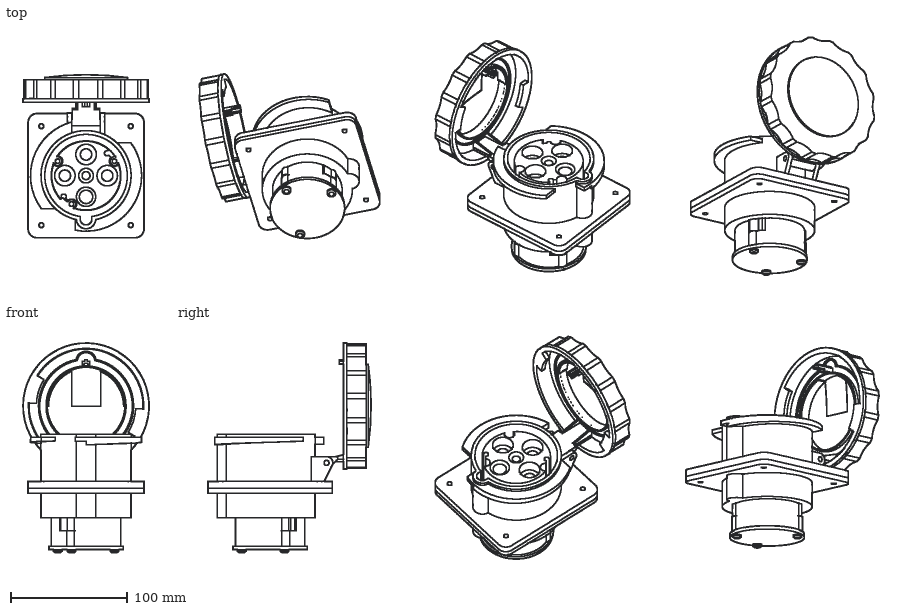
import cadquery as cq
import math


FLANGE_X = 100.0
FLANGE_Y = 107.2
FLANGE_CORNER = 8.0
FLANGE_TOP = 6.1
GASKET_BOTTOM = -4.3
MOUNT_SPACING_X = 76.9
MOUNT_SPACING_Y = 85.2
MOUNT_HOLE_D = 4.0

HOUSING_TOP = 46.7
HOUSING_BOTTOM = -25.5
HOUSING_R = 38.8
CAVITY_R = 35.5
CAVITY_FLOOR = HOUSING_BOTTOM + HOUSING_R - CAVITY_R
LOBE_Y = -37.3
LOBE_R = 8.3
KEYWAY_R = 5.0

COLLAR_R = 47.8
COLLAR_TOP = 44.2
COLLAR_THIN = 3.6
COLLAR_THICK = 6.7
COLLAR_LEAD_IN = 9.4
COLLAR_END = 28.5
COLLAR_TURN = 90 + math.degrees(math.asin(COLLAR_END / COLLAR_R))
COLLAR_GAP_EDGE = -12.5

PIN_Y = 48.5
PIN_Z = 22.0
PIN_R = 2.2
BARREL_R = 5.5
EAR_INNER = 12.3
EAR_OUTER = 16.0
EAR_FOOT_Y = 46.7
ARM_HALF = 11.9
ARM_TIP_Y = 58.1
ARM_BEVEL_Y = 56.7
ARM_BEVEL_DROP = 0.5
ARM_HEEL = (53.0, 19.8)

INSERT_R = 30.0
INSERT_TOP = 43.8
INSERT_TOP_R = 29.5
INSERT_BOTTOM = -49.6
LEDGE_Z = -36.5
SCREW_CIRCLE_R = 27.5
SCREW_ANGLES = (27, 153, 243)
BOSS_R = 4.3
POST_R = 3.8
PILOT_R = 2.0
HOOK_CIRCLE_R = 26.3
HOOK_R = 2.2
REAR_SLOT = {"screw": 27, "hook": 47, "end": 49}
FRONT_SLOT = {"screw": 243, "hook": 223, "end": 221}
TAB_INNER_R = 27.6
CONTACT_CIRCLE_R = 18.2
CONTACT_ANGLES = (0, 90, 180)
CONTACT_R = 8.8
CONTACT_DEPTH = 10.3
CONTACT_BORE_R = 4.9
EARTH_R = 8.3
EARTH_BORE_R = 5.8
PILOT_CONTACT_R = 6.3
PILOT_CONTACT_BORE_R = 3.5
CONE_DEPTH = 2.2
BORE_DEPTH = 36

PLATE_R = 32.1
PLATE_BOTTOM = -52.7
HEAD_R = 3.8
HEAD_BOTTOM = -55.2
HEAD_RIM = 1.3
HEAD_FLAT_R = 2.2
SHANK_TOP = HOUSING_BOTTOM

LID_Z = 70.9
LID_FRONT = 63.0
LID_FLOOR = 76.7
COVER_DISC_BACK = 80.0
RING_BACK = 82.6
HUB_R = 35.7
BORE_BACK_R = 49.0
BORE_FRONT_R = 49.6

RIM_R = 54.3
RIM_BACK = 66.0
GRIP_R = 54.0
SCALLOP_COUNT = 16
SCALLOP_R = 23.5
SCALLOP_CENTRE_R = 75.2
RING_TURN = 2
LIP_R = 42.8
LIP_BACK = 66.5
LIP_ANGLES = ((-30, -1), (150, 179))

HUB_BACK = 84.5
DOME_BACK = 87.0
CUP_R = 33.4
CUP_RIM_R = 34.5
CUP_RIM_FRONT = 73.6
CUP_SKIN = 1.8
STEP_R = 32.3
STEP_FRONT = 74.0
STEP_BACK = 83.4
STEP_ANGLES = ((0, 68), (112, 180))
SEAL_R = 41.0
SEAL_WIDTH = 1.0
SEAL_HEIGHT = 1.0
SEAL_LOBE_Z = 38.5
SEAL_LOBE_R = 8.7
PANEL_HALF = 12.5
PANEL_DEPTH = 0.4
NECK_HALF = 8.8
NECK_BOTTOM = 22.7
NECK_LEDGE = 25.0
RIB_OUTER = 8.5
NECK_FRONT = 56.0
RIB_WIDTH = 1.5
RIB_TOP = 32.7
KEY_TIP = 59.4
KEY_FOOT_FRONT = 66.8
KEY_HALF = 3.0
KEY_BOTTOM = 36
KEY_TOP = 38.6
KEY_GROOVE_HALF = 1.6
KEY_GROOVE_TOP = 36.6
CREST_HALF = 1.0
CREST_TOP = 39.9


def polar(radius, angle):
    turn = math.radians(angle)
    return radius * math.cos(turn), radius * math.sin(turn)


def cylinder(radius, bottom, top, centre=(0, 0)):
    return cq.Workplane("XY", origin=(*centre, bottom)).circle(radius).extrude(top - bottom)


def block(x_range, y_range, z_range):
    size = [end - start for start, end in (x_range, y_range, z_range)]
    corner = (x_range[0], y_range[0], z_range[0])
    return cq.Workplane("XY").box(*size, centered=False).translate(corner)


def side_slab(points, x_start, x_end):
    """A (y, z) outline extruded from x_start to x_end."""
    return cq.Workplane("YZ", origin=(x_start, 0, 0)).polyline(points).close().extrude(x_end - x_start)


def lid_plane(y):
    """Plane across the lid axis, with local x along X and local y along Z."""
    return cq.Workplane("XZ", origin=(0, y, LID_Z))


def lid_block(x_range, y_range, height_range):
    """A block whose height is measured from the lid axis."""
    return block(x_range, y_range, [LID_Z + height for height in height_range])


def sector(plane, inner, outer, start, end, length):
    """Part of a flat ring between two angles."""
    middle = (start + end) / 2
    return (
        plane.moveTo(*polar(inner, start))
        .lineTo(*polar(outer, start))
        .threePointArc(polar(outer, middle), polar(outer, end))
        .lineTo(*polar(inner, end))
        .threePointArc(polar(inner, middle), polar(inner, start))
        .close()
        .extrude(length)
    )


def flange_plate(bottom, top):
    return (
        cq.Workplane("XY", origin=(0, 0, bottom))
        .rect(FLANGE_X, FLANGE_Y)
        .extrude(top - bottom)
        .edges("|Z")
        .fillet(FLANGE_CORNER)
        .faces(">Z")
        .workplane(origin=(0, 0, top))
        .rect(MOUNT_SPACING_X, MOUNT_SPACING_Y, forConstruction=True)
        .vertices()
        .hole(MOUNT_HOLE_D)
    )


def housing_barrel(bottom, top):
    return cylinder(HOUSING_R, bottom, top).union(cylinder(LOBE_R, bottom, top, (0, LOBE_Y)))


def housing_cavity():
    keyway = cylinder(KEYWAY_R, CAVITY_FLOOR, HOUSING_TOP, (0, LOBE_Y))
    neck = block((-KEYWAY_R, KEYWAY_R), (LOBE_Y, 0), (CAVITY_FLOOR, HOUSING_TOP))
    return cylinder(CAVITY_R, CAVITY_FLOOR, HOUSING_TOP).union(keyway).union(neck)


def ramp_cutter():
    """Helical band below the collar, rising from the thick end at -90 degrees."""
    rise = COLLAR_THICK - COLLAR_THIN
    start_z = COLLAR_TOP - COLLAR_THICK
    band_width = 25.3
    band_height = 7.2
    sweep_turn = COLLAR_TURN + 20
    pitch = rise * 360 / COLLAR_TURN
    path = cq.Wire.makeHelix(pitch, pitch * sweep_turn / 360, COLLAR_R)
    band = (
        cq.Workplane("XZ")
        .center(COLLAR_R, -band_height / 2)
        .rect(band_width, band_height)
        .sweep(cq.Workplane(path), isFrenet=True)
    )
    return band.rotate((0, 0, 0), (0, 0, 1), -90).translate((0, 0, start_z))


def collar_flange():
    """One flange, from its lead-in beside the lobe to its thin end."""
    lead_y = -math.sqrt(COLLAR_R**2 - COLLAR_LEAD_IN**2)
    end_x = math.sqrt(COLLAR_R**2 - COLLAR_END**2)
    flange = (
        cq.Workplane("XY", origin=(0, 0, COLLAR_TOP))
        .moveTo(-COLLAR_LEAD_IN, lead_y)
        .threePointArc(polar(COLLAR_R, -30), (end_x, COLLAR_END))
        .lineTo(-COLLAR_LEAD_IN, COLLAR_END)
        .close()
        .extrude(-COLLAR_THICK)
    )
    lead_in_relief = block(
        (-COLLAR_LEAD_IN, 0),
        (-COLLAR_R, 0),
        (COLLAR_TOP - COLLAR_THICK, COLLAR_TOP - COLLAR_THIN),
    )
    return flange.cut(lead_in_relief).cut(ramp_cutter())


def bayonet_collar():
    right = collar_flange()
    left = right.rotate((0, 0, 0), (0, 0, 1), 180)
    hinge_gap = block(
        (COLLAR_GAP_EDGE, COLLAR_R),
        (CAVITY_R, COLLAR_R),
        (COLLAR_TOP - COLLAR_THICK, COLLAR_TOP),
    )
    return right.union(left.cut(hinge_gap))


def hinge_ear(x_start):
    width = EAR_OUTER - EAR_INNER
    plate = side_slab(
        [
            (0, FLANGE_TOP),
            (EAR_FOOT_Y, FLANGE_TOP),
            pin_tangent(),
            (PIN_Y, PIN_Z + BARREL_R),
            (0, PIN_Z + BARREL_R),
        ],
        x_start,
        x_start + width,
    )
    knuckle = pin_cylinder(BARREL_R, x_start, x_start + width)
    return plate.union(knuckle)


def pin_tangent():
    """Point (y, z) where the slanted ear edge, rising from its foot, touches the knuckle."""
    foot_dy = EAR_FOOT_Y - PIN_Y
    foot_dz = FLANGE_TOP - PIN_Z
    foot_angle = math.degrees(math.atan2(foot_dz, foot_dy))
    opening = math.degrees(math.acos(BARREL_R / math.hypot(foot_dy, foot_dz)))
    dy, dz = polar(BARREL_R, foot_angle + opening)
    return PIN_Y + dy, PIN_Z + dz


def pin_cylinder(radius, x_start, x_end):
    return cq.Workplane("YZ", origin=(x_start, PIN_Y, PIN_Z)).circle(radius).extrude(x_end - x_start)


def insert_posts():
    """Posts and a side tab that hang below the cavity floor into recesses of the insert."""
    height = CAVITY_FLOOR - LEDGE_Z
    plane = cq.Workplane("XY", origin=(0, 0, LEDGE_Z))
    posts = sector(plane, TAB_INNER_R, INSERT_R, FRONT_SLOT["screw"], FRONT_SLOT["hook"], height)
    for angle in SCREW_ANGLES:
        posts = posts.union(cylinder(POST_R, LEDGE_Z, CAVITY_FLOOR, polar(SCREW_CIRCLE_R, angle)))
    for angle in SCREW_ANGLES:
        posts = posts.cut(cylinder(PILOT_R, LEDGE_Z, CAVITY_FLOOR, polar(SCREW_CIRCLE_R, angle)))
    return posts


def make_housing():
    housing = (
        housing_barrel(HOUSING_BOTTOM, HOUSING_TOP)
        .union(flange_plate(0, FLANGE_TOP))
        .union(bayonet_collar())
        .union(hinge_ear(EAR_INNER))
        .union(hinge_ear(-EAR_OUTER))
        .cut(housing_cavity())
        .cut(cylinder(INSERT_R, HOUSING_BOTTOM, CAVITY_FLOOR))
        .cut(pin_cylinder(PIN_R, -EAR_OUTER, EAR_OUTER))
    )
    for angle in SCREW_ANGLES:
        pilot = cylinder(PILOT_R, HOUSING_BOTTOM, CAVITY_FLOOR, polar(SCREW_CIRCLE_R, angle))
        housing = housing.cut(pilot)
    return housing.union(insert_posts())


def make_gasket():
    return flange_plate(GASKET_BOTTOM, 0).cut(housing_barrel(GASKET_BOTTOM, 0))


def contact_pocket(centre):
    pocket = cylinder(CONTACT_R, INSERT_TOP - CONTACT_DEPTH, INSERT_TOP, centre)
    return pocket.union(cylinder(CONTACT_BORE_R, INSERT_TOP - BORE_DEPTH, INSERT_TOP, centre))


def cone_pocket(mouth_r, bore_r, centre):
    bore = cylinder(bore_r, INSERT_TOP - BORE_DEPTH, INSERT_TOP, centre)
    cone = cq.Solid.makeCone(
        bore_r, mouth_r, CONE_DEPTH, pnt=cq.Vector(*centre, INSERT_TOP - CONE_DEPTH)
    )
    return bore.union(cq.Workplane(cone))


def tab_slot(slot):
    """Side recess from a screw to the round end of a hook-shaped notch."""
    plane = cq.Workplane("XY", origin=(0, 0, LEDGE_Z))
    height = INSERT_TOP - LEDGE_Z
    recess = sector(plane, HOOK_CIRCLE_R, PLATE_R, slot["screw"], slot["end"], height)
    return recess.union(cylinder(HOOK_R, LEDGE_Z, INSERT_TOP, polar(HOOK_CIRCLE_R, slot["hook"])))


def make_insert():
    insert = cylinder(INSERT_R, INSERT_BOTTOM, CAVITY_FLOOR)
    insert = insert.union(cylinder(INSERT_TOP_R, CAVITY_FLOOR, INSERT_TOP))
    for slot in (REAR_SLOT, FRONT_SLOT):
        insert = insert.cut(tab_slot(slot))
    for angle in SCREW_ANGLES:
        centre = polar(SCREW_CIRCLE_R, angle)
        insert = (
            insert.cut(cylinder(BOSS_R, LEDGE_Z, INSERT_TOP, centre))
            .union(cylinder(BOSS_R, INSERT_BOTTOM, LEDGE_Z, centre))
            .cut(cylinder(PILOT_R, INSERT_BOTTOM, LEDGE_Z, centre))
        )
    for angle in CONTACT_ANGLES:
        insert = insert.cut(contact_pocket(polar(CONTACT_CIRCLE_R, angle)))
    insert = insert.cut(cone_pocket(EARTH_R, EARTH_BORE_R, (0, -CONTACT_CIRCLE_R)))
    return insert.cut(cone_pocket(PILOT_CONTACT_R, PILOT_CONTACT_BORE_R, (0, 0)))


def make_base_plate():
    plate = cylinder(PLATE_R, PLATE_BOTTOM, INSERT_BOTTOM)
    for angle in SCREW_ANGLES:
        plate = plate.cut(cylinder(PILOT_R, PLATE_BOTTOM, INSERT_BOTTOM, polar(SCREW_CIRCLE_R, angle)))
    return plate


def make_screw(angle):
    """Chamfered pan-head screw, revolved about its own axis."""
    return (
        cq.Workplane("XZ")
        .polyline(
            [
                (0, SHANK_TOP),
                (PILOT_R, SHANK_TOP),
                (PILOT_R, PLATE_BOTTOM),
                (HEAD_R, PLATE_BOTTOM),
                (HEAD_R, PLATE_BOTTOM - HEAD_RIM),
                (HEAD_FLAT_R, HEAD_BOTTOM),
                (0, HEAD_BOTTOM),
            ]
        )
        .close()
        .revolve(360, (0, 0), (0, 1))
        .translate((*polar(SCREW_CIRCLE_R, angle), 0))
    )


def dome_middle(edge_r, edge_y, apex_y):
    """Point halfway in from the edge on a spherical cap's profile."""
    rise = apex_y - edge_y
    sphere_r = (edge_r**2 + rise**2) / (2 * rise)
    drop = sphere_r - math.sqrt(sphere_r**2 - (edge_r / 2) ** 2)
    return edge_r / 2, apex_y - drop


def lid_revolve(profile):
    """Revolves an (r, y) profile about the lid axis, with the seam at the top."""
    solid = profile.close().revolve(360, (0, 0), (0, 1))
    return solid.rotate((0, 0, 0), (0, 1, 0), -90).translate((0, 0, LID_Z))


def make_lid_ring():
    ring = lid_revolve(
        cq.Workplane("XY").polyline(
            [
                (BORE_FRONT_R, LID_FRONT),
                (RIM_R, LID_FRONT),
                (RIM_R, RIM_BACK),
                (GRIP_R, RIM_BACK),
                (GRIP_R, RING_BACK),
                (HUB_R, RING_BACK),
                (HUB_R, COVER_DISC_BACK),
                (BORE_BACK_R, COVER_DISC_BACK),
                (BORE_BACK_R, LID_FLOOR),
            ]
        )
    )
    scallops = (
        lid_plane(RIM_BACK)
        .polarArray(SCALLOP_CENTRE_R, 90, 360, SCALLOP_COUNT)
        .circle(SCALLOP_R)
        .extrude(RIM_BACK - RING_BACK)
    )
    ring = ring.cut(scallops)
    lip_outer_r = (BORE_FRONT_R + RIM_R) / 2
    for start, end in LIP_ANGLES:
        lip = sector(lid_plane(LID_FRONT), LIP_R, lip_outer_r, start, end, LID_FRONT - LIP_BACK)
        ring = ring.union(lip)
    return ring.rotate((0, 0, LID_Z), (0, 1, LID_Z), RING_TURN)


def cover_shell():
    cup_edge = HUB_BACK - CUP_SKIN
    cup_apex = DOME_BACK - CUP_SKIN
    return lid_revolve(
        cq.Workplane("XY")
        .moveTo(0, DOME_BACK)
        .threePointArc(dome_middle(HUB_R, HUB_BACK, DOME_BACK), (HUB_R, HUB_BACK))
        .lineTo(HUB_R, COVER_DISC_BACK)
        .lineTo(BORE_BACK_R, COVER_DISC_BACK)
        .lineTo(BORE_BACK_R, LID_FLOOR)
        .lineTo(CUP_RIM_R, LID_FLOOR)
        .lineTo(CUP_RIM_R, CUP_RIM_FRONT)
        .lineTo(CUP_R, CUP_RIM_FRONT)
        .lineTo(CUP_R, cup_edge)
        .threePointArc(dome_middle(CUP_R, cup_edge, cup_apex), (0, cup_apex))
    )


def cup_step():
    """Thickened wall in the upper half of the cup, either side of the panel."""
    step = cq.Workplane("XY")
    for start, end in STEP_ANGLES:
        arc = sector(lid_plane(STEP_FRONT), STEP_R, CUP_RIM_R, start, end, STEP_FRONT - STEP_BACK)
        step = step.union(arc)
    return step


def cup_panel():
    """Shallow recess of even depth in the domed cup floor, from the lid axis to the cup wall."""
    edge = HUB_BACK - CUP_SKIN + PANEL_DEPTH
    apex = DOME_BACK - CUP_SKIN + PANEL_DEPTH
    deeper_floor = lid_revolve(
        cq.Workplane("XY")
        .moveTo(0, LID_FLOOR)
        .lineTo(CUP_R, LID_FLOOR)
        .lineTo(CUP_R, edge)
        .threePointArc(dome_middle(CUP_R, edge, apex), (0, apex))
    )
    return lid_block((-PANEL_HALF, PANEL_HALF), (LID_FLOOR, apex), (0, CUP_R)).intersect(deeper_floor)


def seal_outline(offset):
    plane = lid_plane(LID_FLOOR)
    ring = plane.circle(SEAL_R - offset).extrude(SEAL_HEIGHT)
    lobe = plane.center(0, SEAL_LOBE_Z).circle(SEAL_LOBE_R - offset).extrude(SEAL_HEIGHT)
    return ring.union(lobe)


def locating_key():
    """Peg above the cup with a crest along its top, on a grooved foot. Heights are from the lid axis."""
    body = lid_block((-KEY_HALF, KEY_HALF), (KEY_TIP, LID_FLOOR), (KEY_BOTTOM, KEY_TOP))
    crest = lid_block((-CREST_HALF, CREST_HALF), (KEY_TIP, LID_FLOOR), (KEY_TOP, CREST_TOP))
    foot = lid_block((-KEY_HALF, KEY_HALF), (KEY_FOOT_FRONT, LID_FLOOR), (CUP_RIM_R, KEY_BOTTOM))
    groove = lid_block(
        (-KEY_GROOVE_HALF, KEY_GROOVE_HALF), (KEY_TIP, CUP_RIM_FRONT), (0, KEY_GROOVE_TOP)
    )
    return body.union(crest).union(foot).cut(groove)


def hinge_arm():
    arm_top = PIN_Z + BARREL_R
    wide_plate = side_slab(
        [
            (PIN_Y, arm_top),
            (ARM_BEVEL_Y, arm_top),
            (ARM_TIP_Y, arm_top - ARM_BEVEL_DROP),
            (ARM_TIP_Y, NECK_LEDGE),
            ARM_HEEL,
            (PIN_Y, PIN_Z),
        ],
        -ARM_HALF,
        ARM_HALF,
    )
    lower_neck = block((-NECK_HALF, NECK_HALF), (NECK_FRONT, LID_FLOOR), (NECK_BOTTOM, NECK_LEDGE))
    upper_neck = block((-RIB_OUTER, RIB_OUTER), (ARM_BEVEL_Y, LID_FLOOR), (NECK_LEDGE, arm_top))
    arm = (
        wide_plate.union(lower_neck)
        .union(upper_neck)
        .union(pin_cylinder(BARREL_R, -EAR_INNER, EAR_INNER))
        .union(pin_cylinder(PIN_R, -EAR_OUTER, EAR_OUTER))
    )
    rib_outline = [(ARM_BEVEL_Y, arm_top), (LID_FLOOR, RIB_TOP), (LID_FLOOR, arm_top)]
    for x_start in (-RIB_OUTER, RIB_OUTER - RIB_WIDTH):
        arm = arm.union(side_slab(rib_outline, x_start, x_start + RIB_WIDTH))
    return arm


def make_lid_cover():
    seal_rib = seal_outline(0).cut(seal_outline(SEAL_WIDTH))
    return (
        cover_shell()
        .cut(cup_panel())
        .union(cup_step())
        .union(seal_rib)
        .union(locating_key())
        .union(hinge_arm())
    )


housing = make_housing()
gasket = make_gasket()
insert = make_insert()
base_plate = make_base_plate()
screws = [make_screw(angle) for angle in SCREW_ANGLES]
lid_ring = make_lid_ring()
lid_cover = make_lid_cover()

result = cq.Compound.makeCompound(
    [
        housing.val(),
        gasket.val(),
        insert.val(),
        base_plate.val(),
        *[screw.val() for screw in screws],
        lid_ring.val(),
        lid_cover.val(),
    ]
)